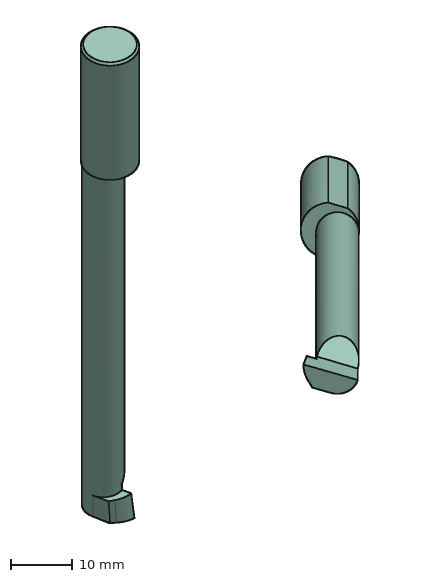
import cadquery as cq
import math

total_length = 101.6
shank_diameter = 9.5
shank_length = 25.4
shank_flat_depth = 0.3
shank_chamfer = 0.4
neck_diameter = 7.0
rake_flat_height = 6.4
tip_height = 5.2
tip_reach = 4.6
side_taper = 0.6
heel_width = 3.3
heel_taper = 0.3
bevel_width = 0.7
bevel_depth = 0.7
relief_bulge = 0.25
end_rise_across = 0.3
end_rise_back = 0.36

shank_radius = shank_diameter / 2
neck_radius = neck_diameter / 2
neck_axis = neck_radius - shank_radius
shank_base = total_length - shank_length


def make_shank():
    shank = (
        cq.Workplane("XY", origin=(0, 0, shank_base))
        .circle(shank_radius)
        .extrude(shank_length)
        .faces(">Z")
        .chamfer(shank_chamfer)
    )
    flat = cq.Workplane("XY", origin=(0, shank_radius - shank_flat_depth, shank_base)).box(
        shank_diameter, shank_diameter, shank_length, centered=(True, False, False)
    )
    return shank.cut(flat)


def make_neck():
    """Round neck, cut to a half-round end on +Y with a 45 degree run-out."""
    neck = cq.Workplane("XY").center(neck_axis, 0).circle(neck_radius).extrude(shank_base)
    relief = (
        cq.Workplane("YZ")
        .polyline([
            (0, 0),
            (0, rake_flat_height),
            (neck_diameter, rake_flat_height + neck_diameter),
            (neck_diameter, 0),
        ])
        .close()
        .extrude(shank_diameter, both=True)
    )
    return neck.cut(relief)


def tip_section(height, reach, heel_end):
    """Tip outline: rake face on Y = 0, heel tangent to the neck, bevel and curved relief."""
    relief_x = heel_end + bevel_width
    relief_y = bevel_depth - neck_radius
    chord = math.hypot(reach - relief_x, relief_y)
    bow_x = -relief_y / chord * relief_bulge
    bow_y = -(reach - relief_x) / chord * relief_bulge
    middle = ((relief_x + reach) / 2 + bow_x, relief_y / 2 + bow_y)
    return (
        cq.Workplane("XY", origin=(0, 0, height))
        .moveTo(neck_axis, 0)
        .lineTo(neck_axis, -neck_radius)
        .lineTo(heel_end, -neck_radius)
        .lineTo(relief_x, relief_y)
        .threePointArc(middle, (reach, 0))
        .close()
        .wires()
        .val()
    )


def make_tip():
    heel_end = neck_axis + heel_width
    bottom = tip_section(0, tip_reach, heel_end)
    top = tip_section(tip_height, tip_reach - side_taper, heel_end - heel_taper)
    return cq.Workplane(cq.Solid.makeLoft([bottom, top], True))


def make_end_relief():
    """Wedge below the sloping end face, which is lowest at the cutting corner."""
    slope_x = -end_rise_across / (tip_reach + shank_radius)
    slope_y = -end_rise_back / neck_radius
    end_plane = cq.Plane(
        origin=(tip_reach, 0, 0),
        xDir=(1, 0, slope_x),
        normal=(-slope_x, -slope_y, 1),
    )
    return cq.Workplane(end_plane).circle(2 * shank_diameter).extrude(-tip_height)


result = make_shank().union(make_neck()).union(make_tip()).cut(make_end_relief())